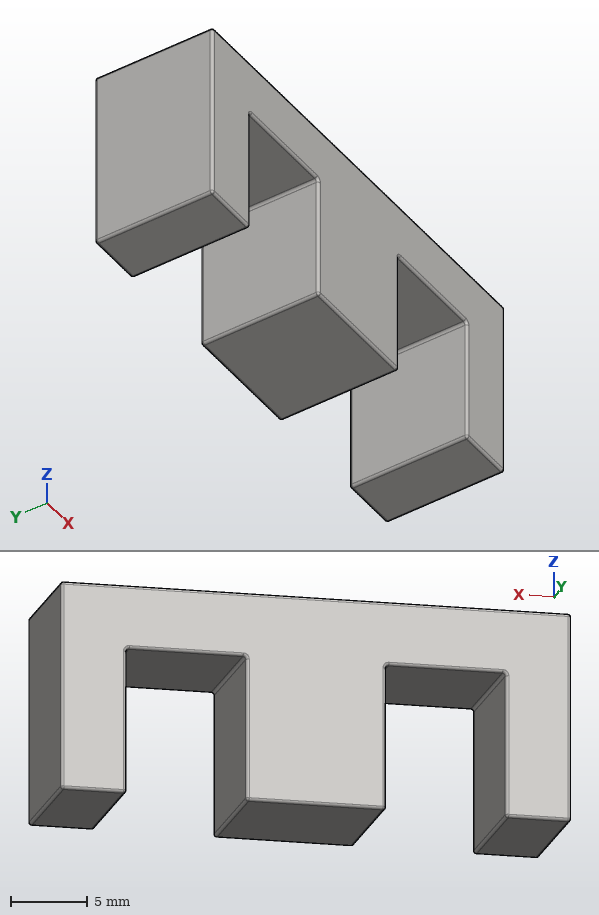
import cadquery as cq

length = 34.3
depth = 9.3
height = 14.1

back_thickness = 4.3
outer_leg_width = 4.4
center_leg_width = 9.4
edge_radius = 0.2

leg_length = height - back_thickness
window_width = (length - center_leg_width) / 2 - outer_leg_width
window_offset = (center_leg_width + window_width) / 2


def make_window(x_center):
    """Rectangular winding window, open at the bottom and through the depth."""
    return (
        cq.Workplane("XY")
        .box(window_width, depth, leg_length, centered=(True, True, False))
        .translate((x_center, 0, 0))
    )


core = cq.Workplane("XY").box(length, depth, height, centered=(True, True, False))
for side in (-1, 1):
    core = core.cut(make_window(side * window_offset))

result = core.edges().fillet(edge_radius)